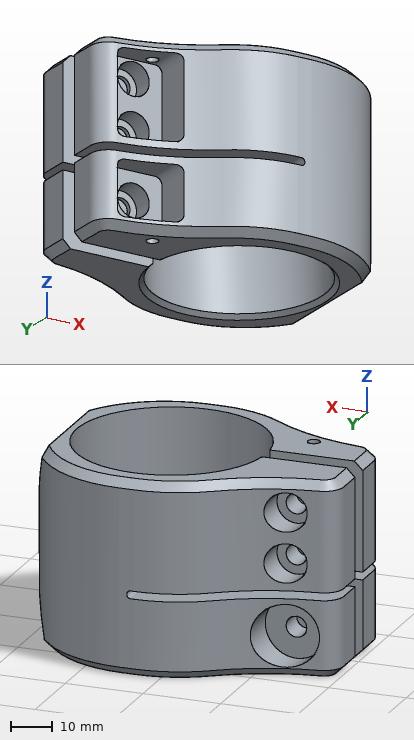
import cadquery as cq
import math

height = 50.0
tab_end_x = -48.2
ring_radius = 30.1
ring_front_x = -2.2
ring_back_x = 1.8
neck_radius = 51.3
neck_angle = math.radians(54)
tab_corner_radius = 5.05
edge_chamfer = 2.2

bore_radius = 24.4
lip_radius = 22.9
lip_height = 19.95
lip_chamfer = 1.2

slot_width = 5.2
slit_width = 2.0
slit_end_x = -0.2

back_x = ring_back_x + ring_radius
upper_bevel_x = 26.35
upper_bevel_z = 31.2
lower_bevel_x = 24.8
lower_bevel_z = 19.0

screw_x = -35.9
seat_y = 9.6
screw_diameter = 5.3
head_diameter = 9.0
head_depth = 5.8
upper_nut_diameter = 10.0
lower_nut_diameter = 16.0
upper_screw_heights = (41.9, 28.9)
lower_screw_height = 10.5

pocket_x_min = -43.7
pocket_x_max = -27.8
upper_pocket = (23.9, 46.85)
lower_pocket = (3.1, 18.0)
pocket_corner_radius = 2.0

pin_x = -31.95
pin_y = -12.0
pin_diameter = 3.1

reach = 2 * ring_radius


def on_circle(center, radius, angle):
    """Point on a circle, with the angle measured from +X."""
    return (center[0] + radius * math.cos(angle), center[1] + radius * math.sin(angle))


def mirrored(point):
    return (point[0], -point[1])


def make_body():
    """Ring with two tabs, chamfered around both end faces."""
    ring_center = (ring_front_x, 0)
    leave_angle = math.pi - neck_angle
    neck_start = on_circle(ring_center, ring_radius, leave_angle)
    ring_mid = on_circle(ring_center, ring_radius, (leave_angle + math.pi / 2) / 2)
    neck_center = on_circle(ring_center, ring_radius + neck_radius, leave_angle)

    start_angle = leave_angle - math.pi
    end_angle = -math.acos((tab_end_x - neck_center[0]) / neck_radius)
    neck_mid = on_circle(neck_center, neck_radius, (start_angle + end_angle) / 2)
    neck_end = on_circle(neck_center, neck_radius, end_angle)

    body = (
        cq.Workplane("XY")
        .moveTo(*neck_end)
        .threePointArc(neck_mid, neck_start)
        .threePointArc(ring_mid, (ring_front_x, ring_radius))
        .lineTo(ring_back_x, ring_radius)
        .threePointArc((back_x, 0), (ring_back_x, -ring_radius))
        .lineTo(ring_front_x, -ring_radius)
        .threePointArc(mirrored(ring_mid), mirrored(neck_start))
        .threePointArc(mirrored(neck_mid), mirrored(neck_end))
        .close()
        .extrude(height)
    )
    body = body.faces("<X").edges("|Z").fillet(tab_corner_radius)
    return body.faces("<Z or >Z").edges().chamfer(edge_chamfer)


def make_bore():
    """Wide bore above a narrower lip that is chamfered at the bottom."""
    flare_radius = lip_radius + lip_chamfer
    profile = [
        (0, 0),
        (flare_radius, 0),
        (lip_radius, lip_chamfer),
        (lip_radius, lip_height),
        (bore_radius, lip_height),
        (bore_radius, height),
        (0, height),
    ]
    return cq.Workplane("XZ").polyline(profile).close().revolve(360, (0, 0), (0, 1))


def make_slot():
    """Vertical gap from the tab ends into the bore."""
    return (
        cq.Workplane("XY", origin=(tab_end_x, 0, 0))
        .box(-tab_end_x, slot_width, height, centered=(False, True, False))
    )


def make_slit():
    """Round-ended slit, level with the lip's upper face."""
    end_radius = slit_width / 2
    top = lip_height + slit_width
    return (
        cq.Workplane("XZ")
        .moveTo(tab_end_x, lip_height)
        .lineTo(slit_end_x - end_radius, lip_height)
        .threePointArc((slit_end_x, lip_height + end_radius), (slit_end_x - end_radius, top))
        .lineTo(tab_end_x, top)
        .close()
        .extrude(reach, both=True)
    )


def make_bevel(end_x, end_z, start_z):
    """Wedge removing the far side between start_z and an end face."""
    corners = [(back_x, start_z), (end_x, end_z), (back_x, end_z)]
    return cq.Workplane("XZ").polyline(corners).close().extrude(reach, both=True)


def y_cylinder(diameter, z, start_y, end_y):
    """Cylinder on a screw axis between two Y positions."""
    return (
        cq.Workplane("XZ", origin=(screw_x, start_y, z))
        .circle(diameter / 2)
        .extrude(start_y - end_y)
    )


def make_screw_hole(z, nut_diameter):
    hole = y_cylinder(screw_diameter, z, reach, -reach)
    head = y_cylinder(head_diameter, z, head_depth - seat_y, -seat_y)
    nut = y_cylinder(nut_diameter, z, reach, seat_y)
    return hole.union(head).union(nut)


def make_pocket(bottom, top):
    width = pocket_x_max - pocket_x_min
    return (
        cq.Workplane("XY", origin=(pocket_x_min, -seat_y - reach, bottom))
        .box(width, reach, top - bottom, centered=False)
        .edges("|Y")
        .fillet(pocket_corner_radius)
    )


def make_pin_hole(bottom, top):
    return cq.Workplane("XY", origin=(pin_x, pin_y, bottom)).circle(pin_diameter / 2).extrude(top - bottom)


result = make_body().cut(make_bore()).cut(make_slot()).cut(make_slit())
result = result.cut(make_bevel(upper_bevel_x, height, upper_bevel_z))
result = result.cut(make_bevel(lower_bevel_x, 0, lower_bevel_z))

for pocket_bottom, pocket_top in (upper_pocket, lower_pocket):
    result = result.cut(make_pocket(pocket_bottom, pocket_top))

for screw_height in upper_screw_heights:
    result = result.cut(make_screw_hole(screw_height, upper_nut_diameter))
result = result.cut(make_screw_hole(lower_screw_height, lower_nut_diameter))

result = result.cut(make_pin_hole(upper_pocket[0], height))
result = result.cut(make_pin_hole(0, lower_pocket[1]))